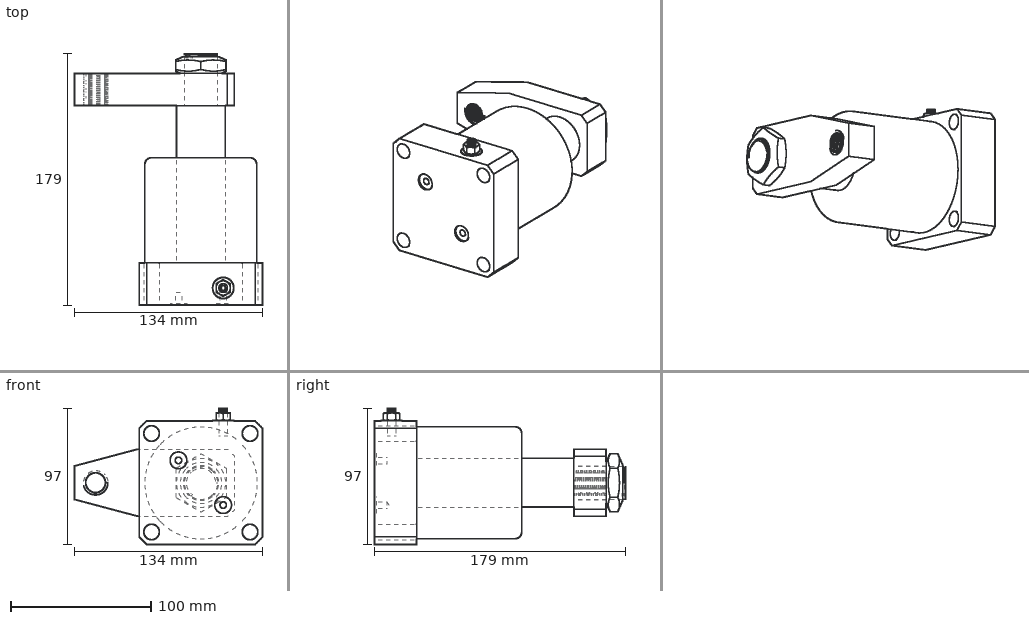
import cadquery as cq
import math


flange_side = 88.0
flange_depth = 30.0
corner_chamfer = 5.4
barrel_diameter = 80.0
barrel_end = 105.0
barrel_fillet = 5.0
mount_hole_diameter = 11.0
mount_hole_offset = 35.0

port_offset = 16.0
port_recess_diameter = 12.0
port_recess_depth = 1.3
port_hole_diameter = 4.7
port_hole_depth = 9.0
drill_point_angle = 118.0

arm_start = 142.1
arm_thickness = 23.0
arm_tip_x = -90.0
arm_taper_x = -45.0
arm_back_x = 24.0
arm_half_width = 24.0
arm_tip_half_width = 12.0
arm_back_chamfer = 5.0
arm_screw_x = -75.0
arm_screw_minor_diameter = 14.0
arm_screw_major_diameter = 17.5
arm_screw_pitch = 3.0

rod_diameter = 34.9
rod_start = flange_depth
stud_diameter = 23.6
stud_end = 179.0
stud_root_diameter = 20.8
stud_pitch = 3.0

nut_across_flats = 36.0
nut_height = 12.0
nut_seat_diameter = 29.4
nut_seat_chamfer_height = 2.9
nut_top_diameter = 25.0
nut_top_chamfer_height = 3.5

screw_x = 16.0
screw_y = 12.2
screw_diameter = 6.0
screw_root_diameter = 4.3
screw_pitch = 1.5
screw_projection = 9.0
screw_hole_depth = 10.7
socket_across_flats = 3.0
socket_depth = 2.7
washer_diameter = 15.2
washer_thickness = 0.4
washer_chamfer = 0.2
lock_nut_across_flats = 10.2
lock_nut_height = 5.4
lock_nut_face_diameter = 10.2
lock_nut_chamfer_height = 0.5

groove_mouth_share = 0.6
groove_root_share = 0.45
groove_overshoot = 0.2

arm_end = arm_start + arm_thickness
nut_end = arm_end + nut_height
flange_top = flange_side / 2
lock_nut_base = flange_top + washer_thickness
lock_nut_top = lock_nut_base + lock_nut_height
screw_top = flange_top + screw_projection
screw_bottom = flange_top - screw_hole_depth


def cylinder_y(diameter, start, end, x=0, z=0):
    """Cylinder along Y between two Y positions, with its seam on the -X side."""
    base = cq.Plane((x, start, z), xDir=(-1, 0, 0), normal=(0, 1, 0))
    return cq.Workplane(base).circle(diameter / 2).extrude(end - start)


def cylinder_z(diameter, start, end, x, y):
    """Cylinder along Z between two Z positions, with its seam on the -X side."""
    base = cq.Plane((x, y, start), xDir=(-1, 0, 0), normal=(0, 0, 1))
    return cq.Workplane(base).circle(diameter / 2).extrude(end - start)


def thread_groove(plane, mouth_radius, root_radius, pitch, length):
    """Right-handed helical groove that starts at the plane's origin and follows its normal."""
    outward = math.copysign(1, mouth_radius - root_radius)
    open_radius = mouth_radius + outward * groove_overshoot
    mouth = groove_mouth_share * pitch / 2
    root = groove_root_share * pitch / 2
    profile = (
        cq.Workplane("XZ")
        .moveTo(open_radius, -mouth)
        .lineTo(root_radius, -root)
        .lineTo(root_radius, root)
        .lineTo(open_radius, mouth)
        .close()
    )
    path = cq.Workplane(cq.Wire.makeHelix(pitch, length, mouth_radius))
    groove = profile.sweep(path, isFrenet=True)
    return cq.Workplane(groove.val().moved(cq.Location(plane)))


def chamfered_hex_nut(
    plane, across_flats, height, base_diameter, base_chamfer, top_diameter, top_chamfer, bore
):
    """Hex nut standing on a plane, with corners along local Y and both ends turned to a cone."""
    corner_radius = across_flats / math.sqrt(3)
    turned_blank = (
        cq.Workplane("XZ")
        .moveTo(bore / 2, 0)
        .lineTo(base_diameter / 2, 0)
        .lineTo(corner_radius, base_chamfer)
        .lineTo(corner_radius, height - top_chamfer)
        .lineTo(top_diameter / 2, height)
        .lineTo(bore / 2, height)
        .close()
        .revolve(360, (0, 0, 0), (0, 1, 0))
    )
    hexagon = cq.Workplane("XY").polygon(6, 2 * corner_radius).extrude(height)
    hexagon = hexagon.rotate((0, 0, 0), (0, 0, 1), 90)
    return cq.Workplane(hexagon.intersect(turned_blank).val().moved(cq.Location(plane)))


def make_housing():
    flange = (
        cq.Workplane("XZ")
        .rect(flange_side, flange_side)
        .extrude(-flange_depth)
        .edges("|Y")
        .chamfer(corner_chamfer)
    )
    barrel = cylinder_y(barrel_diameter, flange_depth, barrel_end).edges(">Y").fillet(barrel_fillet)
    housing = flange.union(barrel)

    for x in (-mount_hole_offset, mount_hole_offset):
        for z in (-mount_hole_offset, mount_hole_offset):
            housing = housing.cut(cylinder_y(mount_hole_diameter, 0, flange_depth, x, z))

    for side in (-1, 1):
        x = side * port_offset
        z = -side * port_offset
        housing = housing.cut(cylinder_y(port_recess_diameter, 0, port_recess_depth, x, z))
        housing = housing.cut(cylinder_y(port_hole_diameter, 0, port_hole_depth, x, z))
    housing = housing.cut(drill_point(port_offset, port_hole_depth, -port_offset))

    housing = housing.cut(cylinder_y(rod_diameter, rod_start, barrel_end))
    return housing.cut(cylinder_z(screw_diameter, screw_bottom, flange_top, screw_x, screw_y))


def drill_point(x, y, z):
    radius = port_hole_diameter / 2
    height = radius / math.tan(math.radians(drill_point_angle / 2))
    return cq.Workplane(cq.Solid.makeCone(radius, 0, height, cq.Vector(x, y, z), cq.Vector(0, 1, 0)))


def make_rod():
    shank = cylinder_y(rod_diameter, rod_start, arm_start)
    stud = cylinder_y(stud_diameter, arm_start, stud_end)
    groove_plane = cq.Plane((0, stud_end, 0), xDir=(1, 0, 0), normal=(0, -1, 0))
    groove = thread_groove(
        groove_plane, stud_diameter / 2, stud_root_diameter / 2, stud_pitch, stud_end - nut_end
    )
    return shank.union(stud.cut(groove))


def make_arm():
    back_half_width = arm_half_width - arm_back_chamfer
    arm = (
        cq.Workplane("XZ", origin=(0, arm_start, 0))
        .moveTo(arm_tip_x, -arm_tip_half_width)
        .lineTo(arm_taper_x, -arm_half_width)
        .lineTo(arm_back_x - arm_back_chamfer, -arm_half_width)
        .lineTo(arm_back_x, -back_half_width)
        .lineTo(arm_back_x, back_half_width)
        .lineTo(arm_back_x - arm_back_chamfer, arm_half_width)
        .lineTo(arm_taper_x, arm_half_width)
        .lineTo(arm_tip_x, arm_tip_half_width)
        .close()
        .extrude(-arm_thickness)
    )
    arm = arm.cut(cylinder_y(stud_diameter, arm_start, arm_end))

    groove_plane = cq.Plane((arm_screw_x, arm_start, 0), xDir=(1, 0, 0), normal=(0, 1, 0))
    groove = thread_groove(
        groove_plane,
        arm_screw_minor_diameter / 2,
        arm_screw_major_diameter / 2,
        arm_screw_pitch,
        arm_thickness + arm_screw_pitch,
    )
    hole = cylinder_y(arm_screw_minor_diameter, arm_start, arm_end, arm_screw_x)
    return arm.cut(groove).cut(hole)


def make_arm_nut():
    return chamfered_hex_nut(
        cq.Plane((0, arm_end, 0), xDir=(1, 0, 0), normal=(0, 1, 0)),
        nut_across_flats,
        nut_height,
        nut_seat_diameter,
        nut_seat_chamfer_height,
        nut_top_diameter,
        nut_top_chamfer_height,
        stud_diameter,
    )


def make_adjusting_screw():
    screw = cylinder_z(screw_diameter, screw_bottom, screw_top, screw_x, screw_y)
    groove_plane = cq.Plane((screw_x, screw_y, screw_top), xDir=(1, 0, 0), normal=(0, 0, -1))
    groove = thread_groove(
        groove_plane,
        screw_diameter / 2,
        screw_root_diameter / 2,
        screw_pitch,
        screw_top - lock_nut_top,
    )
    socket = (
        cq.Workplane("XY", origin=(screw_x, screw_y, screw_top))
        .polygon(6, 2 * socket_across_flats / math.sqrt(3))
        .extrude(-socket_depth)
    )
    return screw.cut(groove).cut(socket)


def make_washer():
    washer = cylinder_z(washer_diameter, flange_top, lock_nut_base, screw_x, screw_y)
    washer = washer.edges(">Z").chamfer(washer_chamfer)
    return washer.cut(cylinder_z(screw_diameter, flange_top, lock_nut_base, screw_x, screw_y))


def make_lock_nut():
    return chamfered_hex_nut(
        cq.Plane((screw_x, screw_y, lock_nut_base), xDir=(1, 0, 0), normal=(0, 0, 1)),
        lock_nut_across_flats,
        lock_nut_height,
        lock_nut_face_diameter,
        lock_nut_chamfer_height,
        lock_nut_face_diameter,
        lock_nut_chamfer_height,
        screw_diameter,
    )


housing = make_housing()
rod = make_rod()
arm = make_arm()
arm_nut = make_arm_nut()
adjusting_screw = make_adjusting_screw()
washer = make_washer()
lock_nut = make_lock_nut()

result = cq.Compound.makeCompound(
    [
        housing.val(),
        rod.val(),
        arm.val(),
        arm_nut.val(),
        adjusting_screw.val(),
        washer.val(),
        lock_nut.val(),
    ]
)